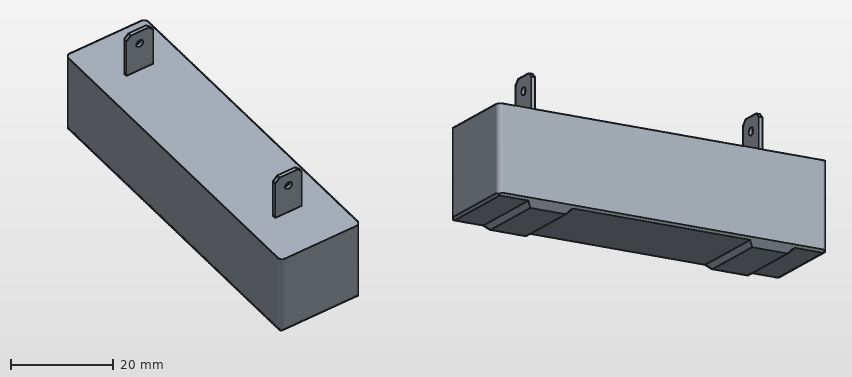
import cadquery as cq

length = 74.0
width = 19.0
total_height = 30.0

corner_radius = 1.0
bottom_chamfer = 0.5

tab_height = 10.0
tab_width = 6.4
tab_thickness = 0.8
tab_chamfer = 1.0
tab_spacing = 51.2
tab_hole_diameter = 1.6
tab_hole_drop = 3.1

foot_height = 1.0
foot_length = 10.1
foot_spacing = 49.95

body_height = total_height - tab_height - foot_height


def make_body():
    """Block with straight bottom chamfers and rounded upright corners, underside at Z = 0."""
    block = cq.Workplane("XY").box(length, width, body_height, centered=(True, True, False))
    chamfered = block.faces("<Z").chamfer(bottom_chamfer)
    rounded = block.edges("|Z").fillet(corner_radius)
    return chamfered.intersect(rounded)


def make_tab(x):
    """Upright blade with clipped top corners and a cross hole."""
    top = body_height + tab_height
    blade = (
        cq.Workplane("XY", origin=(x, 0, body_height))
        .box(tab_thickness, tab_width, tab_height, centered=(True, True, False))
        .edges(">Z and |X")
        .chamfer(tab_chamfer)
    )
    hole = (
        cq.Workplane("YZ", origin=(x, 0, top - tab_hole_drop))
        .circle(tab_hole_diameter / 2)
        .extrude(tab_thickness, both=True)
    )
    return blade.cut(hole)


def make_foot(x):
    """Pad with 45 degree sides; its front and back continue the bottom chamfer."""
    top_width = width - 2 * bottom_chamfer
    return (
        cq.Workplane("XY", origin=(x, 0, 0))
        .rect(foot_length, top_width)
        .workplane(offset=-foot_height)
        .rect(foot_length - 2 * foot_height, top_width - 2 * foot_height)
        .loft(ruled=True)
    )


result = make_body()
for side in (-1, 1):
    result = result.union(make_tab(side * tab_spacing / 2))
    result = result.union(make_foot(side * foot_spacing / 2))